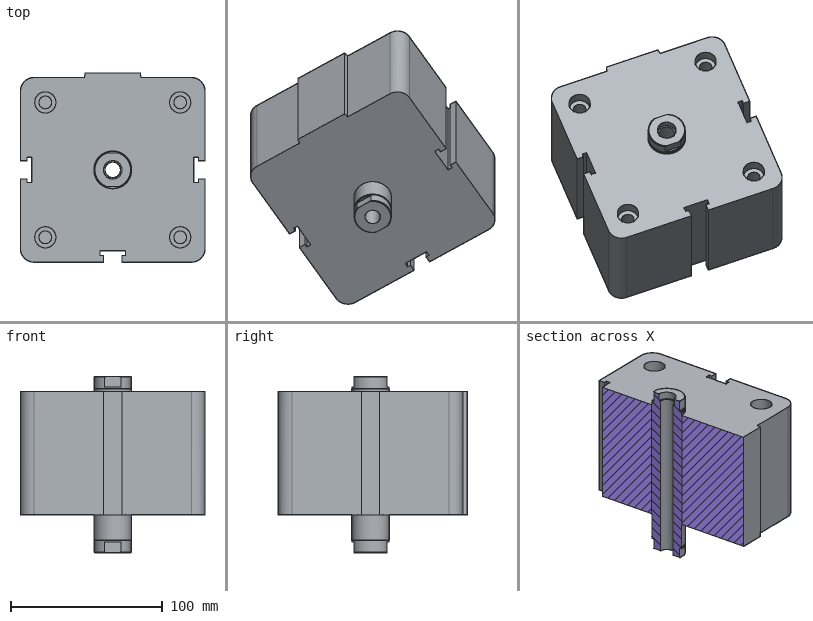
import cadquery as cq

block_side = 122.0
block_height = 81.4
corner_radius = 9.1

rib_base_width = 37.5
rib_top_width = 36.5
rib_height = 3.0

slot_mouth_width = 12.0
slot_undercut_width = 16.5
slot_depth = 7.5
slot_lip_thickness = 4.5
slot_face_angles = (0, 90, -90)

screw_spacing = 89.0
screw_hole_diameter = 8.4
screw_hole_depth = 20
counterbore_diameter = 14.0
counterbore_depth = 8.5

rod_diameter = 25
rod_end_diameter = 24.5
rod_end_length = 8.0
rod_top_reach = 10
rod_bottom_reach = 25.1
rod_tip_chamfer = 0.5
shoulder_length = 0.5
flat_width = 22.0
flat_length = 7.0
bore_diameter = 10.1
bore_mouth_diameter = 12.2
bore_mouth_depth = 4.9

rod_bottom = -rod_bottom_reach
rod_top = block_height + rod_top_reach
rod_length = rod_top - rod_bottom


def make_rib():
    """Rib on the +Y face, narrowing slightly towards its outer face."""
    base_y = block_side / 2
    top_y = base_y + rib_height
    return (
        cq.Workplane("XY")
        .polyline(
            [
                (-rib_base_width / 2, base_y),
                (rib_base_width / 2, base_y),
                (rib_top_width / 2, top_y),
                (-rib_top_width / 2, top_y),
            ]
        )
        .close()
        .extrude(block_height)
    )


def make_slot():
    """T-slot cutter for the -Y face, running the full height."""
    face_y = -block_side / 2
    mouth = cq.Workplane("XY").box(
        slot_mouth_width, slot_depth, block_height, centered=(True, False, False)
    )
    undercut = (
        cq.Workplane("XY")
        .box(
            slot_undercut_width,
            slot_depth - slot_lip_thickness,
            block_height,
            centered=(True, False, False),
        )
        .translate((0, slot_lip_thickness, 0))
    )
    return mouth.union(undercut).translate((0, face_y, 0))


def make_housing():
    """Block with rib, T-slots, counterbored screw holes and a hole for the rod."""
    housing = (
        cq.Workplane("XY")
        .box(block_side, block_side, block_height, centered=(True, True, False))
        .edges("|Z")
        .fillet(corner_radius)
        .union(make_rib())
    )
    slot = make_slot()
    for angle in slot_face_angles:
        housing = housing.cut(slot.rotate((0, 0, 0), (0, 0, 1), angle))

    top_plane = cq.Workplane("XY", origin=(0, 0, block_height))
    counterbores = (
        top_plane.rect(screw_spacing, screw_spacing, forConstruction=True)
        .vertices()
        .circle(counterbore_diameter / 2)
        .extrude(-counterbore_depth)
    )
    screw_holes = (
        top_plane.rect(screw_spacing, screw_spacing, forConstruction=True)
        .vertices()
        .circle(screw_hole_diameter / 2)
        .extrude(-screw_hole_depth)
    )
    rod_hole = cq.Workplane("XY").circle(rod_diameter / 2).extrude(block_height)
    return housing.cut(counterbores).cut(screw_holes).cut(rod_hole)


def make_flat_cutter(end_z, direction):
    """Two slabs that leave parallel flats facing +Y and -Y at one rod end."""
    length = direction * flat_length
    blank = cq.Workplane("XY", origin=(0, 0, end_z)).rect(rod_diameter, rod_diameter).extrude(length)
    core = cq.Workplane("XY", origin=(0, 0, end_z)).rect(rod_diameter, flat_width).extrude(length)
    return blank.cut(core)


def make_rod():
    """Rod with conical shoulders, reduced flatted ends and an axial bore widened at the top."""
    shaft_radius = rod_diameter / 2
    end_radius = rod_end_diameter / 2
    tip_radius = end_radius - rod_tip_chamfer
    upper_half = [
        (shaft_radius, rod_top - rod_end_length - shoulder_length),
        (end_radius, rod_top - rod_end_length),
        (end_radius, rod_top - rod_tip_chamfer),
        (tip_radius, rod_top),
        (0, rod_top),
    ]
    lower_half = [(radius, rod_top + rod_bottom - z) for radius, z in reversed(upper_half)]
    rod = cq.Workplane("XZ").polyline(lower_half + upper_half).close().revolve()
    rod = rod.cut(make_flat_cutter(rod_top, -1)).cut(make_flat_cutter(rod_bottom, 1))

    bore = cq.Workplane("XY", origin=(0, 0, rod_bottom)).circle(bore_diameter / 2).extrude(rod_length)
    bore_mouth = (
        cq.Workplane("XY", origin=(0, 0, rod_top))
        .circle(bore_mouth_diameter / 2)
        .extrude(-bore_mouth_depth)
    )
    return rod.cut(bore).cut(bore_mouth)


housing = make_housing()
rod = make_rod()

result = cq.Compound.makeCompound([housing.val(), rod.val()])